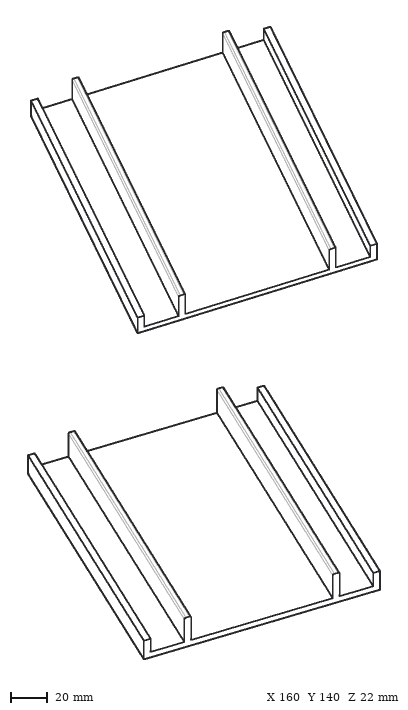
import cadquery as cq

length = 160.0
width = 140.0
height = 22.0

wall = 4.0
floor_thickness = 4.2
side_wall_height = 14.0
rib_center_offset = 44.0
rib_edge_radius = 1.0


def rail(y_center, rail_height):
    """Full-length upright wall standing on the underside plane."""
    return cq.Workplane("XY").center(0, y_center).box(
        length, wall, rail_height, centered=(True, True, False)
    )


result = cq.Workplane("XY").box(length, width, floor_thickness, centered=(True, True, False))

for side in (-1, 1):
    result = result.union(rail(side * (width - wall) / 2, side_wall_height))

    rib = rail(side * rib_center_offset, height).faces(">Z").edges("|X").fillet(rib_edge_radius)
    result = result.union(rib)